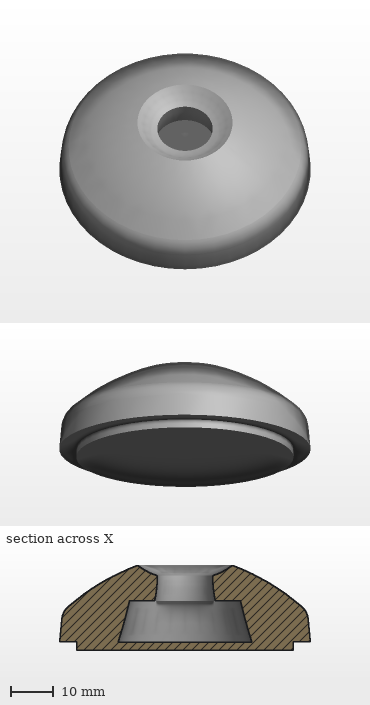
import cadquery as cq

total_height = 20.0
lip_height = 1.95
wall_top = 7.1
dome_edge_height = 10.45

base_radius = 29.5
lip_radius = 51.0 / 2
wall_top_radius = 29.0
dome_edge_radius = 27.3
crown_radius = 11.15

shoulder_round = 4.7
dome_sphere_radius = 53.1

neck_radius = 6.5
mouth_depth = 2.4
mouth_round = 14.75
throat_depth = 6.0
throat_bottom_radius = 7.1
throat_round = 23.6
chamber_floor_radius = 15.65
chamber_ceiling_radius = 13.0
chamber_floor = lip_height


def turned_body():
    """Revolve the solid profile: locating lip, drafted wall, shoulder and dome."""
    profile = (
        cq.Workplane("XZ")
        .lineTo(lip_radius, 0)
        .lineTo(lip_radius, lip_height)
        .lineTo(base_radius, lip_height)
        .lineTo(wall_top_radius, wall_top)
        .radiusArc((dome_edge_radius, dome_edge_height), -shoulder_round)
        .radiusArc((crown_radius, total_height), -dome_sphere_radius)
        .lineTo(0, total_height)
        .close()
    )
    return profile.revolve(360, (0, 0, 0), (0, 1, 0))


def center_recess():
    """Revolve the cutter for the dished mouth, flared throat and wider chamber."""
    neck_height = total_height - mouth_depth
    chamber_ceiling = neck_height - throat_depth
    profile = (
        cq.Workplane("XZ")
        .moveTo(0, chamber_floor)
        .lineTo(chamber_floor_radius, chamber_floor)
        .lineTo(chamber_ceiling_radius, chamber_ceiling)
        .lineTo(throat_bottom_radius, chamber_ceiling)
        .radiusArc((neck_radius, neck_height), throat_round)
        .radiusArc((crown_radius, total_height), -mouth_round)
        .lineTo(0, total_height)
        .close()
    )
    return profile.revolve(360, (0, 0, 0), (0, 1, 0))


result = turned_body().cut(center_recess())